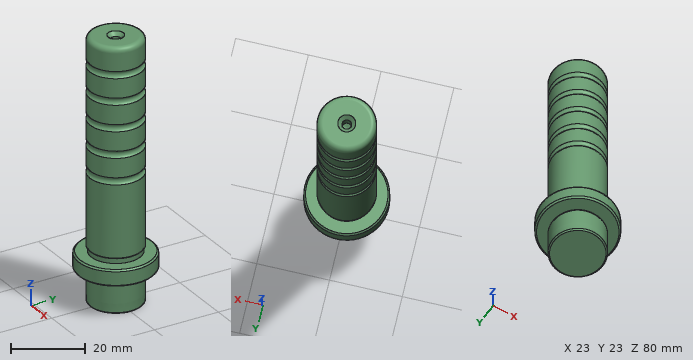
import cadquery as cq
import math

length = 80.0
shaft_radius = 8.0
top_fillet = 1.5

groove_count = 5
groove_pitch = 8.0
groove_width = 2.2
groove_half_width = groove_width / 2
groove_depth = 0.6
groove_floor = shaft_radius - groove_depth

collar_radius = 11.5
collar_bottom = 10.0
collar_top = 15.0
collar_chamfer = 0.5
shaft_chamfer = 0.4
neck_radius = shaft_radius - shaft_chamfer
neck_top = 16.5

undercut_height = groove_half_width
lead_in_height = 3.0
lead_in_radius = 7.96
foot_chamfer = 0.4

countersink_radius = 2.4
hole_radius = 1.3
countersink_depth = countersink_radius - hole_radius
hole_depth = 4.0
drill_tip_angle = 118.0

groove_arc_radius = (groove_half_width**2 + groove_depth**2) / (2 * groove_depth)


def make_spigot():
    """Slightly tapered plug with an arc-shaped undercut beneath the collar."""
    undercut_start = collar_bottom - undercut_height
    return (
        cq.Workplane("XZ")
        .lineTo(lead_in_radius - foot_chamfer, 0)
        .lineTo(lead_in_radius, foot_chamfer)
        .lineTo(shaft_radius, lead_in_height)
        .lineTo(shaft_radius, undercut_start)
        .radiusArc((groove_floor, collar_bottom), groove_arc_radius)
        .lineTo(0, collar_bottom)
        .close()
        .revolve(360, (0, 0), (0, 1))
    )


def make_collar():
    collar = cq.Workplane().workplane(offset=collar_bottom).circle(collar_radius)
    return collar.extrude(collar_top - collar_bottom).edges().chamfer(collar_chamfer)


def make_shaft():
    neck = cq.Workplane().workplane(offset=collar_top).circle(neck_radius).extrude(neck_top - collar_top)
    shaft = cq.Workplane().workplane(offset=neck_top).circle(shaft_radius).extrude(length - neck_top)
    shaft = shaft.faces("<Z").edges().chamfer(shaft_chamfer)
    shaft = shaft.faces(">Z").edges().fillet(top_fillet)
    return neck.union(shaft)


def make_groove(height):
    """Ring cutter with two arcs meeting at the groove floor."""
    return (
        cq.Workplane("XZ")
        .moveTo(shaft_radius, height - groove_half_width)
        .radiusArc((groove_floor, height), groove_arc_radius)
        .radiusArc((shaft_radius, height + groove_half_width), groove_arc_radius)
        .close()
        .revolve(360, (0, 0), (0, 1))
    )


def make_centre_hole():
    """Countersunk blind hole with a conical drill tip."""
    tip_height = hole_radius / math.tan(math.radians(drill_tip_angle / 2))
    return (
        cq.Workplane("XZ")
        .moveTo(0, length)
        .lineTo(countersink_radius, length)
        .lineTo(hole_radius, length - countersink_depth)
        .lineTo(hole_radius, length - hole_depth)
        .lineTo(0, length - hole_depth - tip_height)
        .close()
        .revolve(360, (0, 0), (0, 1))
    )


result = make_spigot().union(make_collar()).union(make_shaft())
for index in range(groove_count):
    result = result.cut(make_groove(length - groove_pitch * (index + 1)))
result = result.cut(make_centre_hole())